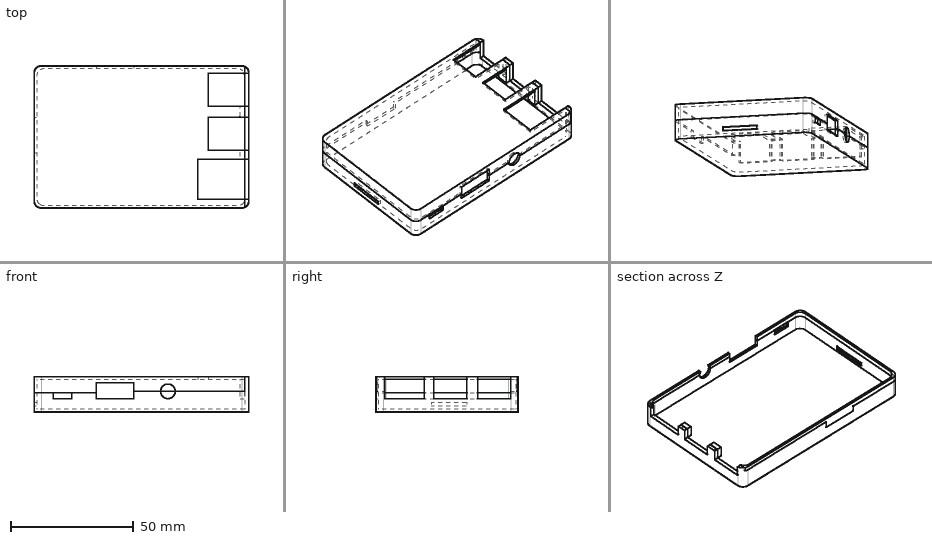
import cadquery as cq

LENGTH = 87.9
WIDTH = 58.2
HEIGHT = 14.5
CORNER_RADIUS = 3.0

SIDE_WALL = 1.05
END_WALL = 1.8
FLOOR = 1.5
ROOF = 1.05
INNER_RADIUS = 3.0

END_PLANE = LENGTH - END_WALL

LOW_SPLIT = 8.0
HIGH_SPLIT = 8.5

PORT_SILL = 5.5
USB_LEFT = 7.9
USB_RIGHT = 15.5
HDMI_LEFT = 25.5
HDMI_RIGHT = 40.8
HDMI_TOP = 12.0
JACK_DIAMETER = 6.0
JACK_X = 54.8

SLOT_BACK = 37.2
SLOT_FRONT = 22.6
SLOT_BOTTOM = 2.55
SLOT_TOP = 4.05

LARGE_BAY = (66.9, 3.7, 19.9)
MIDDLE_BAY = (71.2, 23.7, 37.2)
BACK_BAY = (71.2, 41.7, 55.1)
BAYS = [LARGE_BAY, MIDDLE_BAY, BACK_BAY]

POST_DEPTH = 2.0


def box(x_range, y_range, z_range):
    """Axis-aligned block spanning the three (low, high) ranges."""
    size = [high - low for low, high in (x_range, y_range, z_range)]
    return cq.Workplane().box(*size, centered=False).translate((x_range[0], y_range[0], z_range[0]))


def case_shell():
    """Closed hollow case before it is parted into base and lid."""
    outside = box((0, LENGTH), (0, WIDTH), (0, HEIGHT)).edges("|Z").fillet(CORNER_RADIUS)
    cavity = box(
        (SIDE_WALL, END_PLANE), (SIDE_WALL, WIDTH - SIDE_WALL), (FLOOR, HEIGHT - ROOF)
    )
    return outside.cut(cavity.edges("|Z").fillet(INNER_RADIUS))


def lid_posts():
    """Posts hanging from the roof that fill the width between neighbouring bays."""
    posts = []
    for front_bay, back_bay in zip(BAYS, BAYS[1:]):
        x_range = (END_PLANE - POST_DEPTH, END_PLANE)
        y_range = (front_bay[2], back_bay[1])
        posts.append(box(x_range, y_range, (PORT_SILL, HEIGHT - ROOF)))
    return posts


def lid_space():
    """Space above the stepped parting surface and inside the end wall."""
    low_part = box((0, HDMI_LEFT), (0, WIDTH), (LOW_SPLIT, HEIGHT))
    hdmi_part = box((HDMI_LEFT, HDMI_RIGHT), (0, WIDTH), (PORT_SILL, HEIGHT))
    high_part = box((HDMI_RIGHT, END_PLANE), (0, WIDTH), (HIGH_SPLIT, HEIGHT))
    return low_part.union(hdmi_part).union(high_part)


def openings():
    """Every port, slot and bay that is cut through the case."""
    wall_y = (0, SIDE_WALL)
    usb = box((USB_LEFT, USB_RIGHT), wall_y, (PORT_SILL, LOW_SPLIT))
    hdmi = box((HDMI_LEFT, HDMI_RIGHT), wall_y, (PORT_SILL, HDMI_TOP))
    jack = (
        cq.Workplane("XZ")
        .center(JACK_X, HIGH_SPLIT)
        .circle(JACK_DIAMETER / 2)
        .extrude(-SIDE_WALL)
    )
    card_slot = box((0, SIDE_WALL), (SLOT_FRONT, SLOT_BACK), (SLOT_BOTTOM, SLOT_TOP))
    cutters = [usb, hdmi, jack, card_slot]
    for start_x, front_y, back_y in BAYS:
        cutters.append(box((start_x, LENGTH), (front_y, back_y), (PORT_SILL, HEIGHT)))
    return cutters


def make_base(shell):
    """Floor, lower walls and the full-height +X end wall."""
    return shell.cut(lid_space())


def make_lid(shell):
    """Roof and upper walls, with the posts between the bays."""
    lid = shell.intersect(lid_space())
    for post in lid_posts():
        lid = lid.union(post)
    return lid


shell = case_shell()
for opening in openings():
    shell = shell.cut(opening)

base = make_base(shell)
lid = make_lid(shell)

result = cq.Compound.makeCompound([base.solids().val(), lid.solids().val()])